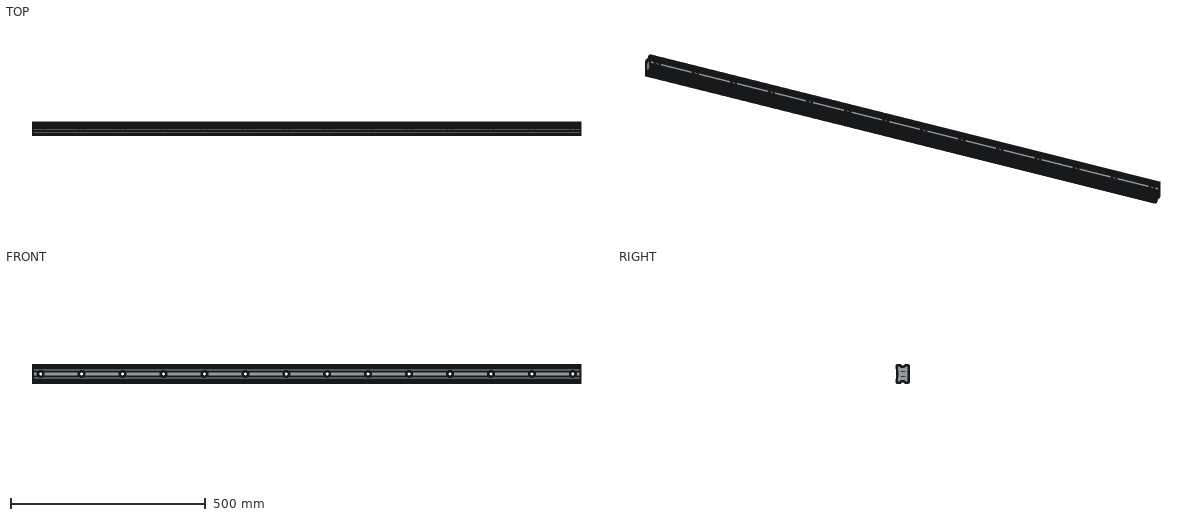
import cadquery as cq
import math

LENGTH = 1405.0
DEPTH = 32.0
WIDTH = 45.0

HOLE_COUNT = 14
HOLE_PITCH = 105.0
HOLE_DIAMETER = 14.0

CREST_CENTRE_Y = 10.5
CREST_FLAT = 4.6
CREST_SLOPE_DEGREES = 23.6

RACEWAY_DEPTH = 3.5
RACEWAY_BASE_Y = -3.4

BASE_CHAMFER = 2.5
RELIEF_WIDTH = 30.6
RELIEF_DEPTH = 1.0

CHANNEL_WIDTH = 13.0
CHANNEL_DEPTH = 0.5

HALF_DEPTH = DEPTH / 2
HALF_WIDTH = WIDTH / 2


def half_outline():
    """Points (y, z) of the +Z half of the cross-section, from the +Y face to the -Y channel."""
    crest_high_y = CREST_CENTRE_Y + CREST_FLAT / 2
    crest_low_y = CREST_CENTRE_Y - CREST_FLAT / 2
    slope_run = HALF_DEPTH - crest_high_y
    shoulder_y = crest_low_y - slope_run
    shoulder_z = HALF_WIDTH - slope_run * math.tan(math.radians(CREST_SLOPE_DEGREES))

    floor_z = HALF_WIDTH - RACEWAY_DEPTH
    relief_z = RELIEF_WIDTH / 2
    relief_y = -HALF_DEPTH + RELIEF_DEPTH
    channel_z = CHANNEL_WIDTH / 2

    return [
        (HALF_DEPTH, shoulder_z),
        (crest_high_y, HALF_WIDTH),
        (crest_low_y, HALF_WIDTH),
        (shoulder_y, shoulder_z),
        (shoulder_y - (shoulder_z - floor_z), floor_z),
        (RACEWAY_BASE_Y, floor_z),
        (RACEWAY_BASE_Y - RACEWAY_DEPTH, HALF_WIDTH),
        (-HALF_DEPTH + BASE_CHAMFER, HALF_WIDTH),
        (-HALF_DEPTH, HALF_WIDTH - BASE_CHAMFER),
        (-HALF_DEPTH, relief_z),
        (relief_y, relief_z - RELIEF_DEPTH),
        (relief_y, channel_z),
        (relief_y + CHANNEL_DEPTH, channel_z),
    ]


def rail_bar():
    """The full cross-section, symmetric about Z = 0, extruded along X."""
    upper = half_outline()
    lower = [(y, -z) for y, z in reversed(upper)]
    bar = cq.Workplane("YZ").polyline(upper + lower).close().extrude(LENGTH)
    return bar.translate((-LENGTH / 2, 0, 0))


def mounting_holes():
    """Cylinders along Y for the row of through holes, centred on the length."""
    return (
        cq.Workplane("XZ")
        .rarray(HOLE_PITCH, 1, HOLE_COUNT, 1)
        .circle(HOLE_DIAMETER / 2)
        .extrude(HALF_DEPTH, both=True)
    )


result = rail_bar().cut(mounting_holes())